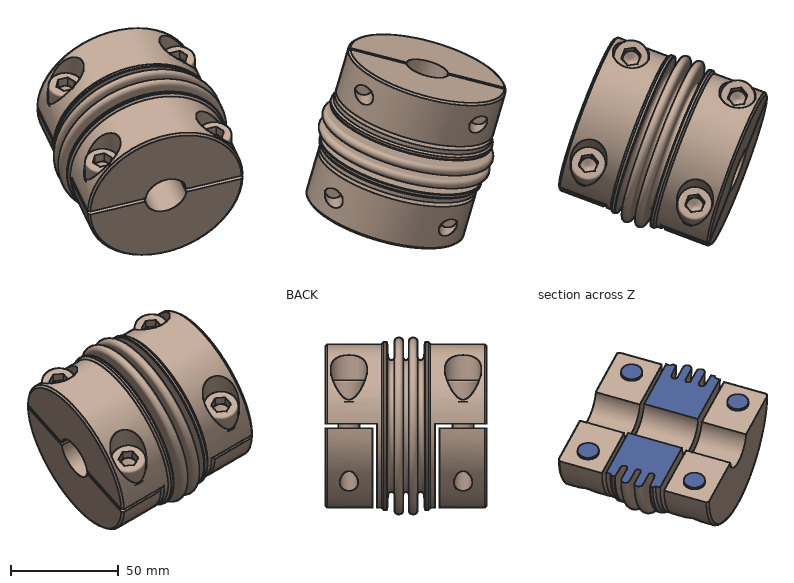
import cadquery as cq
import math

LENGTH = 75.0
BORE_DIAMETER = 20.0

HUB_DIAMETER = 76.0
HUB_CHAMFER = 1.0
COLLAR_DIAMETER = 78.0
COLLAR_START = 11.35
COLLAR_END = 9.05
RIM_DIAMETER = 77.6

BELLOWS_DIAMETER = 82.2
ROOT_DIAMETER = 61.35
END_ROOT_RADIUS = 1.65
WAVE_PITCH = 6.7
WAVE_THICKNESS = 4.2
RIM_END = 8.6

SLOT_WIDTH = 2.0
CROSS_SLOT_CENTER = 14.5

SCREW_X = 26.5
SCREW_Y = 27.5
SHANK_DIAMETER = 10.0
HEAD_DIAMETER = 16.0
HEAD_ROUNDING = 1.0
HEAD_TOP = 21.3
HEAD_HEIGHT = 10.1
SOCKET_FLATS = 8.0
SOCKET_DEPTH = 5.0
SOCKET_CONE_DEPTH = 2.3
COUNTERBORE_DIAMETER = 17.0
TAPPED_HOLE_DIAMETER = 8.5
SHANK_END = -14.8

HEAD_SEAT = HEAD_TOP - HEAD_HEIGHT


def arc(outline, center_x, center_r, radius, start, end):
    """Continue the outline along a circular arc between two angles in degrees."""
    angles = [math.radians(angle) for angle in ((start + end) / 2, end)]
    middle, last = [
        (center_x + radius * math.cos(angle), center_r + radius * math.sin(angle)) for angle in angles
    ]
    return outline.threePointArc(middle, last)


def turned_body():
    """Solid of revolution about X: hubs, collars and bellows."""
    end = LENGTH / 2
    hub_r = HUB_DIAMETER / 2
    collar_r = COLLAR_DIAMETER / 2
    root_r = ROOT_DIAMETER / 2
    wave_r = WAVE_THICKNESS / 2
    gap_r = (WAVE_PITCH - WAVE_THICKNESS) / 2
    crest_center_r = BELLOWS_DIAMETER / 2 - wave_r

    outline = (
        cq.Workplane("XY")
        .moveTo(-end, 0)
        .lineTo(-end, hub_r - HUB_CHAMFER)
        .lineTo(-end + HUB_CHAMFER, hub_r)
        .lineTo(-COLLAR_START, hub_r)
        .lineTo(-COLLAR_START + collar_r - hub_r, collar_r)
        .lineTo(-COLLAR_END, collar_r)
        .lineTo(-COLLAR_END, RIM_DIAMETER / 2)
        .lineTo(-RIM_END, RIM_DIAMETER / 2)
    )

    crest_x = WAVE_PITCH / 2
    outline = outline.lineTo(-WAVE_PITCH - END_ROOT_RADIUS, root_r + END_ROOT_RADIUS)
    outline = arc(outline, -WAVE_PITCH, root_r + END_ROOT_RADIUS, END_ROOT_RADIUS, 180, 270)
    outline = arc(outline, -WAVE_PITCH, root_r + gap_r, gap_r, 270, 360)
    outline = outline.lineTo(-crest_x - wave_r, crest_center_r)
    outline = arc(outline, -crest_x, crest_center_r, wave_r, 180, 0)
    outline = outline.lineTo(-gap_r, root_r + gap_r)
    outline = arc(outline, 0, root_r + gap_r, gap_r, 180, 360)
    outline = outline.lineTo(crest_x - wave_r, crest_center_r)
    outline = arc(outline, crest_x, crest_center_r, wave_r, 180, 0)
    outline = outline.lineTo(crest_x + wave_r, root_r + gap_r)
    outline = arc(outline, WAVE_PITCH, root_r + gap_r, gap_r, 180, 270)
    outline = arc(outline, WAVE_PITCH, root_r + END_ROOT_RADIUS, END_ROOT_RADIUS, 270, 360)

    outline = (
        outline.lineTo(RIM_END, RIM_DIAMETER / 2)
        .lineTo(COLLAR_END, RIM_DIAMETER / 2)
        .lineTo(COLLAR_END, collar_r)
        .lineTo(COLLAR_START - collar_r + hub_r, collar_r)
        .lineTo(COLLAR_START, hub_r)
        .lineTo(end - HUB_CHAMFER, hub_r)
        .lineTo(end, hub_r - HUB_CHAMFER)
        .lineTo(end, 0)
        .close()
    )
    return outline.revolve(360, (0, 0, 0), (1, 0, 0))


def bore():
    return cq.Workplane("YZ").circle(BORE_DIAMETER / 2).extrude(LENGTH / 2, both=True)


def clamp_slots(side):
    """L-shaped cut: along the hub at mid height, then down behind the lower half."""
    inner_x = CROSS_SLOT_CENTER - SLOT_WIDTH / 2
    outer_x = LENGTH / 2
    width = BELLOWS_DIAMETER
    flat_slot = cq.Workplane("XY").box(outer_x - inner_x, width, SLOT_WIDTH)
    flat_slot = flat_slot.translate((side * (outer_x + inner_x) / 2, 0, 0))
    cross_slot = cq.Workplane("XY").box(SLOT_WIDTH, width, width / 2)
    cross_slot = cross_slot.translate((side * CROSS_SLOT_CENTER, 0, -width / 4))
    return flat_slot.union(cross_slot)


def cylinder(diameter, bottom, top):
    return cq.Workplane("XY").workplane(offset=bottom).circle(diameter / 2).extrude(top - bottom)


def screw_hole():
    """Counterbore open at the top and tapped hole open at the bottom."""
    counterbore = cylinder(COUNTERBORE_DIAMETER, HEAD_SEAT, BELLOWS_DIAMETER / 2)
    return counterbore.union(cylinder(TAPPED_HOLE_DIAMETER, -BELLOWS_DIAMETER / 2, SHANK_END))


def screw():
    """Socket head cap screw with a hexagon socket that ends in a cone."""
    head = cylinder(HEAD_DIAMETER, HEAD_SEAT, HEAD_TOP).faces(">Z").fillet(HEAD_ROUNDING)
    shank = cylinder(SHANK_DIAMETER, SHANK_END, HEAD_SEAT)
    socket = (
        cq.Workplane("XY")
        .workplane(offset=HEAD_TOP - SOCKET_DEPTH)
        .polygon(6, SOCKET_FLATS, circumscribed=True)
        .extrude(SOCKET_DEPTH)
    )
    cone = cq.Workplane("XY").add(
        cq.Solid.makeCone(
            SOCKET_FLATS / 2,
            0,
            SOCKET_CONE_DEPTH,
            pnt=cq.Vector(0, 0, HEAD_TOP - SOCKET_DEPTH),
            dir=cq.Vector(0, 0, -1),
        )
    )
    return head.union(shank).cut(socket).cut(cone)


result = turned_body().cut(bore())

for side in (-1, 1):
    result = result.cut(clamp_slots(side))

for x in (-SCREW_X, SCREW_X):
    for y in (-SCREW_Y, SCREW_Y):
        result = result.cut(screw_hole().translate((x, y, 0)))
        result = result.union(screw().translate((x, y, 0)))